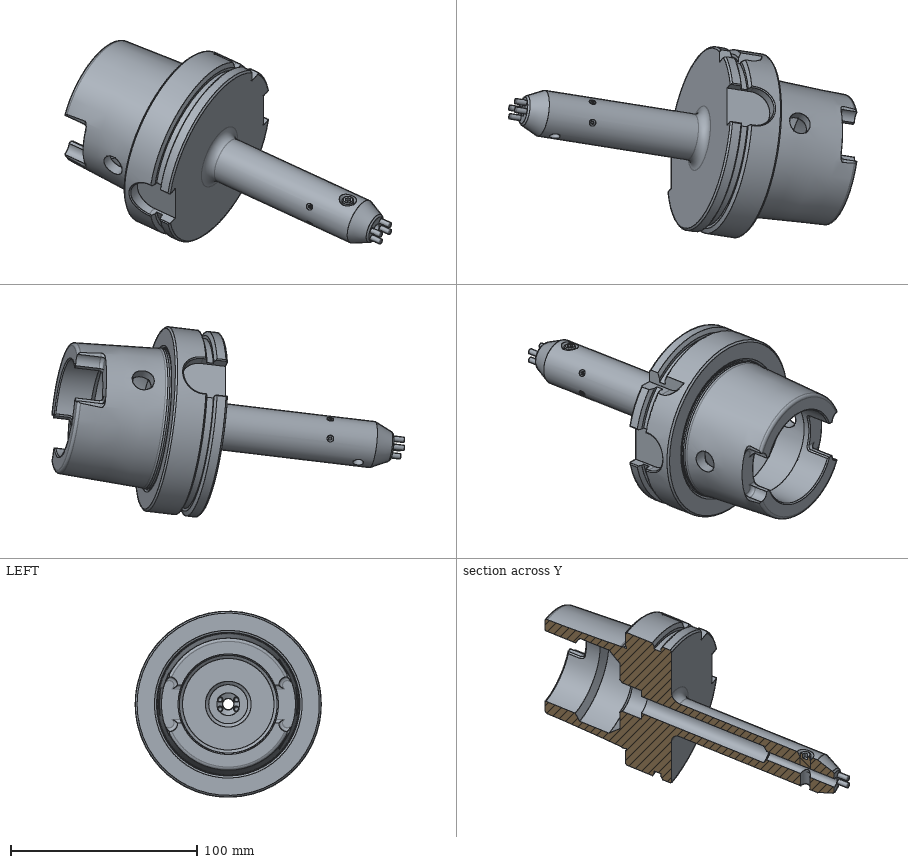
import cadquery as cq
import math


shank_length = 50.0
shank_rear_radius = 35.5
shank_front_radius = 37.8
shank_rear_chamfer = 1.7
collar_radius = 38.2
collar_end = -0.6
collar_start = -2.8
collar_bevel = 1.1
face_groove_depth = 0.6
face_groove_inner_radius = 37.8
face_groove_floor_radius = 38.6
face_groove_mouth_radius = 39.7

flange_radius = 50.0
flange_length = 29.0
flange_chamfer = 1.0
groove_center = 20.0
groove_half_top = 3.1
groove_half_floor = 1.9
groove_wall_radius = 47.6
groove_floor_radius = 46.0

chuck_radius = 12.5
chuck_root_fillet = 5.0
nose_cone_start = 119.6
nose_face = 130.0
nose_chamfer = 1.0
nose_cone_radius = 8.2

cavity_radius = 26.3
cavity_chamfer = 0.7
cavity_straight_end = -31.0
undercut_radius = 31.0
undercut_angle = 60.0
undercut_end = -10.0
cavity_floor_radius = 24.6
floor_cone_angle = 45.0
cavity_floor = undercut_end + (undercut_radius - cavity_floor_radius) / math.tan(math.radians(floor_cone_angle))
thread_radius = 10.5
thread_mouth_radius = 12.3
thread_end = 10.0
feed_radius = 6.1
feed_end = 86.0
tool_radius = 3.0
drill_tip_angle = 118.0

drive_half_width = 10.2
drive_depth_plus_y = 10.0
drive_depth_minus_y = 15.0
drive_corner_radius = 2.0
drive_flare_start = 27.2
drive_flare_radius = 4.5

cross_hole_radius = 6.0
cross_hole_x = -15.0

key_half_width = 11.0
key_start = 4.5
key_floor = 43.0
key_chamfer = 0.7
notch_depth_from_axis = 31.5
notch_end_radius = 10.0
notch_end_x = 14.3

pin_radius = 1.5
pin_circle_radius = 5.1
pin_angles = [30.0, 150.0, 210.0, 330.0]
pin_start = 88.0
pin_end = 136.13
pin_tip_round = 0.3
pin_dimple_radius = 1.2
lock_screw_x = 94.1
lock_screw_radius = 1.8
lock_screw_recess = 0.4
lock_hex_width = 1.6
lock_hex_depth = 1.5
clamp_screw_x = 111.8
clamp_screw_radius = 3.1
clamp_screw_chamfer = 0.6
clamp_screw_recess = 0.1
clamp_hex_width = 2.5
clamp_hex_depth = 3.0
clamp_mouth_radius = 4.8
clamp_mouth_angle = 30.0
access_hole_radius = 2.8

reach = 2 * flange_radius


def revolved(profile):
    """Turn a closed (x, radius) outline about the X axis."""
    return profile.close().revolve(360, (0, 0, 0), (1, 0, 0))


def turned_blank():
    root_x = flange_length + chuck_root_fillet
    root_radius = chuck_radius + chuck_root_fillet
    root_mid = (
        root_x - chuck_root_fillet * math.sin(math.radians(45)),
        root_radius - chuck_root_fillet * math.cos(math.radians(45)),
    )
    outline = (
        cq.Workplane("XY")
        .moveTo(-shank_length, 0)
        .lineTo(-shank_length, shank_rear_radius - shank_rear_chamfer)
        .radiusArc((-shank_length + shank_rear_chamfer, shank_rear_radius), shank_rear_chamfer)
        .lineTo(collar_start, shank_front_radius)
        .lineTo(collar_start + collar_bevel, collar_radius)
        .lineTo(collar_end, collar_radius)
        .lineTo(face_groove_depth, face_groove_inner_radius)
        .lineTo(face_groove_depth, face_groove_floor_radius)
        .lineTo(0, face_groove_mouth_radius)
        .lineTo(0, flange_radius - flange_chamfer)
        .lineTo(flange_chamfer, flange_radius)
        .lineTo(flange_length - flange_chamfer, flange_radius)
        .lineTo(flange_length, flange_radius - flange_chamfer)
        .lineTo(flange_length, root_radius)
        .threePointArc(root_mid, (root_x, chuck_radius))
        .lineTo(nose_cone_start, chuck_radius)
        .lineTo(nose_face - nose_chamfer, nose_cone_radius)
        .lineTo(nose_face, nose_cone_radius - nose_chamfer)
        .lineTo(nose_face, 0)
    )
    return revolved(outline)


def gripper_groove():
    """V-shaped groove around the flange."""
    outline = (
        cq.Workplane("XY")
        .moveTo(groove_center - groove_half_top, reach)
        .lineTo(groove_center - groove_half_top, flange_radius)
        .lineTo(groove_center - groove_half_floor, groove_wall_radius)
        .lineTo(groove_center - groove_half_floor, groove_floor_radius)
        .lineTo(groove_center + groove_half_floor, groove_floor_radius)
        .lineTo(groove_center + groove_half_floor, groove_wall_radius)
        .lineTo(groove_center + groove_half_top, flange_radius)
        .lineTo(groove_center + groove_half_top, reach)
    )
    return revolved(outline)


def inner_bores():
    thread_mouth_depth = thread_mouth_radius - thread_radius
    undercut_step = undercut_radius - cavity_radius
    undercut_start = cavity_straight_end + undercut_step / math.tan(math.radians(undercut_angle))
    tip_length = (feed_radius - tool_radius) / math.tan(math.radians(drill_tip_angle / 2))
    outline = (
        cq.Workplane("XY")
        .moveTo(-shank_length, 0)
        .lineTo(-shank_length, cavity_radius)
        .lineTo(cavity_straight_end, cavity_radius)
        .lineTo(undercut_start, undercut_radius)
        .lineTo(undercut_end, undercut_radius)
        .lineTo(cavity_floor, cavity_floor_radius)
        .lineTo(cavity_floor, thread_mouth_radius)
        .lineTo(cavity_floor + thread_mouth_depth, thread_radius)
        .lineTo(thread_end, thread_radius)
        .lineTo(thread_end, feed_radius)
        .lineTo(feed_end, feed_radius)
        .lineTo(feed_end + tip_length, tool_radius)
        .lineTo(nose_face, tool_radius)
        .lineTo(nose_face, 0)
    )
    return revolved(outline)


def drive_slot(depth):
    """Slot on the +Y side whose walls flare out in a round towards the outside."""
    flare_end = drive_flare_start + drive_flare_radius
    mouth_half_width = drive_half_width + drive_flare_radius
    return (
        cq.Workplane("YZ", origin=(-shank_length, 0, 0))
        .moveTo(0, -drive_half_width)
        .lineTo(drive_flare_start, -drive_half_width)
        .radiusArc((flare_end, -mouth_half_width), -drive_flare_radius)
        .lineTo(flare_end, -flange_radius)
        .lineTo(flange_radius, -flange_radius)
        .lineTo(flange_radius, flange_radius)
        .lineTo(flare_end, flange_radius)
        .lineTo(flare_end, mouth_half_width)
        .radiusArc((drive_flare_start, drive_half_width), -drive_flare_radius)
        .lineTo(0, drive_half_width)
        .close()
        .extrude(depth)
    )


def rounded_drive_slot(depth):
    slot = drive_slot(depth)
    side_edges = slot.faces(">X").edges("not(<Y or >Y)")
    return side_edges.fillet(drive_corner_radius)


def key_slot():
    """Key slot on the +Y side of the flange: one round end, open past the front of the flange."""
    center_x = key_start + key_half_width
    return (
        cq.Workplane("XZ", origin=(0, key_floor, 0))
        .moveTo(flange_length + 1, -key_half_width)
        .lineTo(center_x, -key_half_width)
        .threePointArc((key_start, 0), (center_x, key_half_width))
        .lineTo(flange_length + 1, key_half_width)
        .close()
        .extrude(-reach)
    )


def chamfer_key_rim(body, side):
    """Chamfer the key slot where it breaks the round of the flange; `side` is 1 or -1 along Y."""
    rim_low = math.sqrt(flange_radius**2 - key_half_width**2) - 0.1
    near = (key_start - 0.1, side * rim_low, -key_half_width - 0.1)
    far = (flange_length - flange_chamfer, side * (flange_radius + 0.1), key_half_width + 0.1)
    return body.edges(cq.selectors.BoxSelector(near, far)).chamfer(key_chamfer)


def chamfer_cavity_mouth(body):
    """Chamfer the cavity where it meets the rear face and the drive slots."""
    deepest = -shank_length + drive_depth_minus_y + 0.1
    size = cavity_radius + 0.1
    near = (-shank_length - 0.1, -size, -size)
    far = (deepest, size, size)
    return body.edges(cq.selectors.BoxSelector(near, far, boundingbox=True)).chamfer(cavity_chamfer)


def orientation_notch():
    """L-shaped notch at 45 degrees in the flange, with a rounded rear end."""
    length = flange_length + notch_end_radius + 1 - notch_end_x
    return (
        cq.Workplane("XY")
        .box(length + notch_end_radius, reach, reach, centered=False)
        .edges("|Y and <X and <Z")
        .fillet(notch_end_radius)
        .translate((notch_end_x - notch_end_radius, notch_depth_from_axis, notch_depth_from_axis))
    )


def radial_plane(x, angle, distance):
    """Plane whose normal points outwards from the X axis at `angle` from +Y towards +Z."""
    outward = (0, math.cos(math.radians(angle)), math.sin(math.radians(angle)))
    origin = (x, distance * outward[1], distance * outward[2])
    return cq.Workplane(cq.Plane(origin=origin, xDir=(1, 0, 0), normal=outward))


def set_screw(x, angle, radius, tip, head, hex_width, hex_depth):
    """Headless screw from radius `tip` to radius `head`, with a hexagon socket."""
    hex_diameter = hex_width / math.cos(math.radians(30))
    screw = radial_plane(x, angle, tip).circle(radius).extrude(head - tip)
    socket = radial_plane(x, angle, head).polygon(6, hex_diameter).extrude(-hex_depth)
    return screw.cut(socket)


def pin_plane(x, angle):
    y = pin_circle_radius * math.cos(math.radians(angle))
    z = pin_circle_radius * math.sin(math.radians(angle))
    return cq.Workplane("YZ", origin=(x, y, z))


def pin(angle):
    """Straight pin with a rounded tip and a conical dimple in its rear end."""
    blank = pin_plane(pin_start, angle).circle(pin_radius).extrude(pin_end - pin_start)
    blank = blank.faces(">X").edges().fillet(pin_tip_round)
    rear_center = pin_plane(pin_start, angle).val().Center()
    dimple = cq.Solid.makeCone(pin_dimple_radius, 0, pin_dimple_radius, rear_center, cq.Vector(1, 0, 0))
    return blank.cut(cq.Workplane(dimple))


def lock_screw(angle):
    """Screw that holds one pin from the side."""
    return set_screw(
        lock_screw_x,
        angle,
        lock_screw_radius,
        pin_circle_radius + pin_radius,
        chuck_radius - lock_screw_recess,
        lock_hex_width,
        lock_hex_depth,
    )


def clamp_screw():
    """Screw on top of the chuck that clamps the tool shank."""
    screw = set_screw(
        clamp_screw_x,
        90,
        clamp_screw_radius,
        tool_radius,
        chuck_radius - clamp_screw_recess,
        clamp_hex_width,
        clamp_hex_depth,
    )
    return screw.faces(">Z").edges("%CIRCLE").chamfer(clamp_screw_chamfer)


def chuck_holes():
    """Holes for the pins, the lock screws and the clamp screw."""
    holes = radial_plane(clamp_screw_x, 90, 0).circle(clamp_screw_radius).extrude(reach)
    mouth_widening = clamp_mouth_radius - clamp_screw_radius
    mouth_depth = mouth_widening / math.tan(math.radians(clamp_mouth_angle))
    mouth = cq.Workplane(
        cq.Solid.makeCone(
            clamp_screw_radius,
            clamp_mouth_radius,
            mouth_depth,
            cq.Vector(clamp_screw_x, 0, chuck_radius - mouth_depth),
            cq.Vector(0, 0, 1),
        )
    )
    holes = holes.union(mouth)
    holes = holes.union(radial_plane(clamp_screw_x, 270, 0).circle(access_hole_radius).extrude(reach))
    for angle in pin_angles:
        holes = holes.union(pin_plane(feed_end, angle).circle(pin_radius).extrude(reach))
        screw_hole = radial_plane(lock_screw_x, angle, pin_circle_radius)
        holes = holes.union(screw_hole.circle(lock_screw_radius).extrude(chuck_radius))
    return holes


def housing():
    cross_hole = (
        cq.Workplane("XZ").center(cross_hole_x, 0).circle(cross_hole_radius).extrude(reach, both=True)
    )
    minus_y_drive = rounded_drive_slot(drive_depth_minus_y).mirror("XZ")
    body = turned_blank()
    body = body.cut(key_slot()).cut(key_slot().mirror("XZ"))
    for side in (1, -1):
        body = chamfer_key_rim(body, side)
    body = body.cut(gripper_groove()).cut(inner_bores())
    body = body.cut(rounded_drive_slot(drive_depth_plus_y)).cut(minus_y_drive)
    body = chamfer_cavity_mouth(body)
    body = body.cut(cross_hole)
    body = body.cut(orientation_notch())
    return body.cut(chuck_holes())


holder = housing()
pins = [pin(angle) for angle in pin_angles]
lock_screws = [lock_screw(angle) for angle in pin_angles]
top_screw = clamp_screw()

result = cq.Compound.makeCompound(
    [
        holder.val(),
        *[part.val() for part in pins],
        *[part.val() for part in lock_screws],
        top_screw.val(),
    ]
)